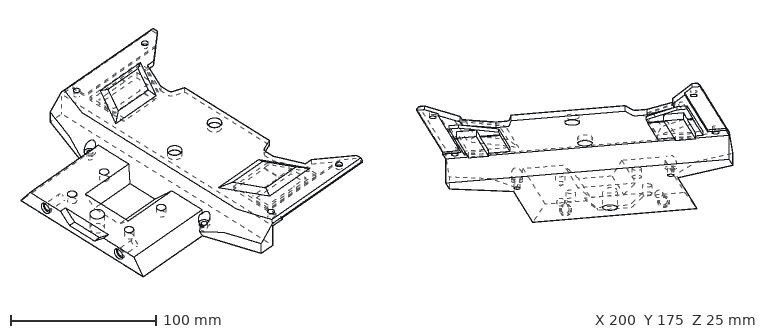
import cadquery as cq
import math

half_width = 100.0
depth = 175.0
plate_top = 22.0
overall_height = 25.0
plate_bottom = 17.8

ear_tip_x = 94.5
ear_inner_x = 74.8
ear_inner_rear_y = 150.5
ear_inner_front_y = 144.5
notch_y = 134.8
notch_outer_x = 53.2
notch_inner_x = 44.0
tail_half_width = 40.2
tail_y = 145.0
notch_radius = 3.0
edge_chamfer = 1.8

wall_back_y = 85.2
wall_end_y = 73.5
wall_sweep_angle = 19
slope_bend_x = 73.2
slope_top_y = 77.5
wall_tip_x = 54.0

block_top = 12.8
block_half_bottom = 58.0
block_half_top = 49.2
block_back_y = 72.0

channel_half_top = 20.5
channel_half_floor = 11.8
channel_floor = 5.0
channel_lip_y = 5.0
channel_web_y = 24.8

pad_base = [(80.2, 143.0), (48.5, 125.5), (48.5, 85.0), (80.2, 102.8)]
pad_crest = [(74.8, 134.8), (54.2, 123.5), (54.2, 93.5), (74.8, 104.8)]

seat_width = 13.0
seat_front_y = 94.8
seat_z = 19.2
boss_outline = [(84.0, 145.5), (77.0, 145.5), (52.0, 132.0), (52.0, 96.5), (84.0, 96.5)]
boss_bottom = 14.8
boss_step_y = 127.2
boss_step_height = 0.5
foot_inner_x = 66.0
foot_outer_x = 80.0
foot_front_y = 101.5
foot_rear_y = 139.2
foot_bottom = 10.5

centre_hole_diameter = 10.0
centre_hole_ys = [15.2, 92.5, 132.5]
ear_hole_diameter = 4.5
ear_hole_x = 92.0
ear_hole_ys = [91.8, 159.8]
wall_screw_x = 54.2
wall_screw_y = 65.0
wall_screw_diameter = 4.2
wall_screw_head_diameter = 7.8
wall_screw_floor = 5.5
block_hole_x = 27.0
block_hole_ys = [18.5, 50.5]
block_hole_diameter = 6.5
block_hole_depth = 6.0
drill_point_angle = 118
front_hole_x = 34.5
front_hole_z = 6.8
front_hole_diameter = 5.5
front_hole_depth = 16.0
front_bore_diameter = 8.0
front_bore_depth = 2.0


def mirrored(right_half):
    """Complete a right-half outline, listed from centre to centre, with its left half."""
    return right_half + [(-x, y) for x, y in reversed(right_half)]


def both_sides(solid):
    return solid.union(solid.mirror("YZ"))


def cylinder(diameter, x, y, bottom, top):
    return cq.Workplane("XY", origin=(x, y, bottom)).circle(diameter / 2).extrude(top - bottom)


def box(x0, x1, y0, y1, z0, z1):
    return cq.Workplane("XY").box(x1 - x0, y1 - y0, z1 - z0, centered=False).translate((x0, y0, z0))


def plate_and_wall():
    sweep = math.tan(math.radians(wall_sweep_angle))
    outline = mirrored([
        (wall_tip_x, wall_end_y - (half_width - wall_tip_x) * sweep),
        (half_width, wall_end_y),
        (half_width, depth),
        (ear_tip_x, depth),
        (ear_inner_x, ear_inner_rear_y),
        (ear_inner_x, ear_inner_front_y),
        (notch_outer_x, notch_y),
        (notch_inner_x, notch_y),
        (tail_half_width, tail_y),
    ])
    body = cq.Workplane("XY").polyline(outline).close().extrude(plate_top)
    notch_corners = cq.selectors.BoxSelector(
        (-notch_inner_x - notch_radius, notch_y - notch_radius, 0),
        (notch_inner_x + notch_radius, notch_y + notch_radius, plate_top))
    body = body.edges("|Z").edges(notch_corners).fillet(notch_radius)
    body = body.faces("<X or >X").edges(">Z").chamfer(edge_chamfer)

    reach = 2 * half_width
    slope = mirrored([
        (slope_bend_x, slope_top_y),
        (reach, slope_top_y + (reach - slope_bend_x) * sweep),
        (reach, depth + plate_top),
    ])
    envelope = (
        cq.Workplane("XY").polyline([(x, y - plate_top) for x, y in slope]).close()
        .workplane(offset=plate_top).polyline(slope).close()
        .loft(ruled=True)
    )
    body = body.intersect(envelope)

    body = body.cut(box(-half_width, half_width, wall_back_y, depth, 0, plate_bottom))
    seat = box(half_width - seat_width, half_width, seat_front_y, depth, 0, seat_z)
    return body.cut(both_sides(seat))


def front_block():
    block = (
        cq.Workplane("XZ")
        .polyline(mirrored([(block_half_bottom, 0), (block_half_top, block_top)]))
        .close().extrude(-block_back_y)
    )
    channel = (
        cq.Workplane("XZ")
        .polyline(mirrored([(channel_half_floor, channel_floor), (channel_half_top, block_top)]))
        .close().extrude(-block_back_y)
    )
    web = box(-channel_half_top, channel_half_top, channel_lip_y, channel_web_y, 0, block_top)
    return block.cut(channel.cut(web))


def raised_pads():
    pad = (
        cq.Workplane("XY", origin=(0, 0, plate_top)).polyline(pad_base).close()
        .workplane(offset=overall_height - plate_top).polyline(pad_crest).close()
        .loft(ruled=True)
    )
    return both_sides(pad)


def underside_bosses():
    boss = (
        cq.Workplane("XY", origin=(0, 0, boss_bottom)).polyline(boss_outline).close()
        .extrude(seat_z - boss_bottom)
    )
    step = box(0, half_width, boss_step_y, depth, boss_bottom, boss_bottom + boss_step_height)
    boss = boss.cut(step)
    foot = box(foot_inner_x, foot_outer_x, foot_front_y, foot_rear_y, foot_bottom, plate_bottom)
    return both_sides(boss.union(foot))


def drilled_hole(diameter, hole_depth):
    """Blind hole going down from the origin, ending in a drill point."""
    radius = diameter / 2
    point_depth = hole_depth + radius / math.tan(math.radians(drill_point_angle / 2))
    profile = [(0, 0), (radius, 0), (radius, -hole_depth), (0, -point_depth)]
    return cq.Workplane("XZ").polyline(profile).close().revolve(360, (0, 0, 0), (0, 1, 0))


def block_hole(x, y):
    return drilled_hole(block_hole_diameter, block_hole_depth).translate((x, y, block_top))


def front_hole(x):
    """Counterbored blind hole entering the front face."""
    drilled = drilled_hole(front_hole_diameter, front_hole_depth)
    bore = cylinder(front_bore_diameter, 0, 0, -front_bore_depth, 0)
    hole = drilled.union(bore).rotate((0, 0, 0), (1, 0, 0), 90)
    return hole.translate((x, 0, front_hole_z))


result = plate_and_wall().union(front_block()).union(raised_pads()).union(underside_bosses())

for hole_y in centre_hole_ys:
    result = result.cut(cylinder(centre_hole_diameter, 0, hole_y, 0, plate_top))

for side in (-1, 1):
    for hole_y in ear_hole_ys:
        result = result.cut(cylinder(ear_hole_diameter, side * ear_hole_x, hole_y, 0, plate_top))
    for hole_y in block_hole_ys:
        result = result.cut(block_hole(side * block_hole_x, hole_y))
    wall_x = side * wall_screw_x
    result = result.cut(cylinder(wall_screw_diameter, wall_x, wall_screw_y, 0, plate_top))
    result = result.cut(
        cylinder(wall_screw_head_diameter, wall_x, wall_screw_y, wall_screw_floor, plate_top))
    result = result.cut(front_hole(side * front_hole_x))